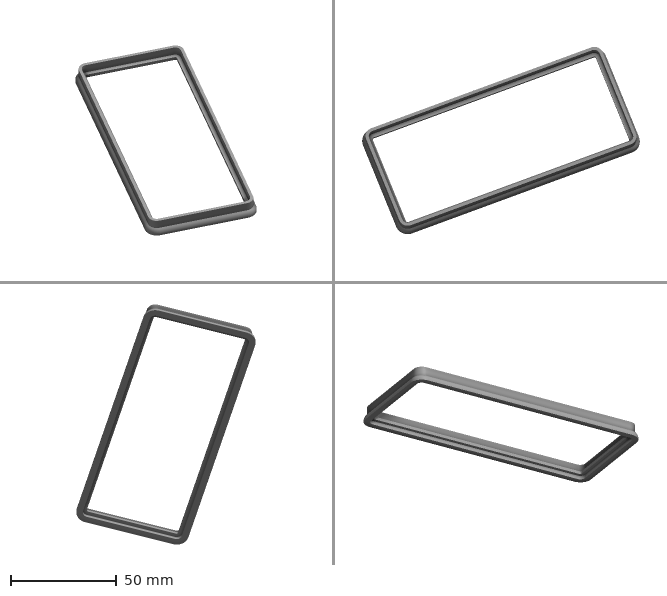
import cadquery as cq

length = 123.0
width = 55.0
height = 7.7
corner_radius = 5.8

wall_outer_inset = 1.6
wall_inner_inset = 3.1
opening_inset = 4.9

band_height = 0.7
base_height = 3.3
lip_thickness = 1.5

shoulder_rise = base_height - band_height
shoulder_radius = (shoulder_rise**2 + wall_outer_inset**2) / (2 * wall_outer_inset)


def rounded_block(inset, bottom, top):
    """Block with rounded corners concentric with those of the base."""
    return (
        cq.Workplane("XY")
        .workplane(offset=bottom)
        .rect(length - 2 * inset, width - 2 * inset)
        .extrude(top - bottom)
        .edges("|Z")
        .fillet(corner_radius - inset)
    )


def rounded_base():
    """Flange with a straight band below and a rounded shoulder above."""
    full_height = band_height + shoulder_radius
    block = rounded_block(0, 0, full_height)
    rounded = block.faces(">Z").edges().fillet(shoulder_radius)
    return rounded.intersect(rounded_block(0, 0, base_height))


wall = rounded_block(wall_outer_inset, 0, height)
opening = rounded_block(opening_inset, 0, height)
upper_recess = rounded_block(wall_inner_inset, base_height, height)
lower_recess = rounded_block(wall_inner_inset, 0, base_height - lip_thickness)

result = rounded_base().union(wall).cut(opening).cut(upper_recess).cut(lower_recess)